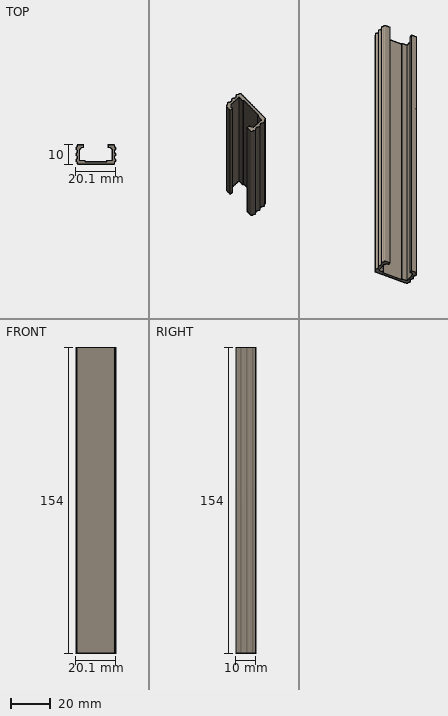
import cadquery as cq
import math

length = 154.0
depth = 10.0
overall_width = 20.08

side_half_width = 9.4
rib_count = 3
rib_pitch = 3.0
rib_half_width = 1.35
rib_crest_half_width = 0.55
rib_height = overall_width / 2 - side_half_width
outer_corner_radius = 0.5

inner_half_width = 8.2
floor_thickness = 2.0
relief_half_width = 5.4
relief_depth = 0.6

mouth_half_width = 6.2
lip_thickness = 1.6
lip_chamfer = 1.0

back_y = -depth / 2
mouth_y = depth / 2


def add_rib(section, rib_y):
    """Continue the outline in +Y over one rib: concave root, convex crest, concave root."""
    flank_angle = 2 * math.atan(rib_height / rib_half_width)
    crest_radius = rib_crest_half_width / math.sin(flank_angle)
    crest_edge_x = side_half_width + rib_height - crest_radius * (1 - math.cos(flank_angle))
    root_radius = (rib_half_width - rib_crest_half_width) / math.sin(flank_angle)

    section = section.lineTo(side_half_width, rib_y - rib_half_width)
    section = section.radiusArc((crest_edge_x, rib_y - rib_crest_half_width), root_radius)
    section = section.radiusArc((crest_edge_x, rib_y + rib_crest_half_width), -crest_radius)
    return section.radiusArc((side_half_width, rib_y + rib_half_width), root_radius)


def half_section():
    """Closed outline of the +X half of the channel section."""
    floor_y = back_y + floor_thickness
    relief_y = floor_y - relief_depth
    lip_y = mouth_y - lip_thickness
    first_rib_y = -rib_pitch * (rib_count - 1) / 2
    corner_x = side_half_width - outer_corner_radius

    section = cq.Workplane("XY").moveTo(0, back_y)
    section = section.lineTo(corner_x, back_y)
    section = section.radiusArc((side_half_width, back_y + outer_corner_radius), -outer_corner_radius)

    for index in range(rib_count):
        section = add_rib(section, first_rib_y + index * rib_pitch)

    section = section.lineTo(side_half_width, mouth_y - outer_corner_radius)
    section = section.radiusArc((corner_x, mouth_y), -outer_corner_radius)
    section = section.lineTo(mouth_half_width, mouth_y)
    section = section.lineTo(mouth_half_width, lip_y)
    section = section.lineTo(inner_half_width - lip_chamfer, lip_y)
    section = section.lineTo(inner_half_width, lip_y - lip_chamfer)
    section = section.lineTo(inner_half_width, floor_y)
    section = section.lineTo(relief_half_width, floor_y)
    section = section.lineTo(relief_half_width, relief_y)
    section = section.lineTo(0, relief_y)
    return section.close()


right_half = half_section().extrude(length)
left_half = right_half.mirror("YZ")
result = right_half.union(left_half, clean=True)